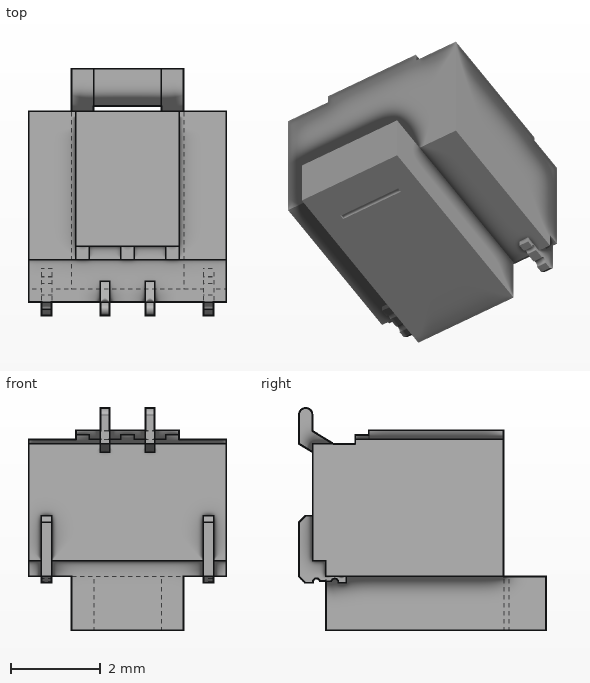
import cadquery as cq

HOUSING_WIDTH = 4.4
HOUSING_FRONT = 0.3
HOUSING_BACK = 4.555
HOUSING_BOTTOM = 1.2
HOUSING_TOP = 4.25

STEP_BACK = 0.6
STEP_HEIGHT = 0.35
LEDGE_BACK = 1.25
LEDGE_DROP = 0.1

PLATE_WIDTH = 2.3
PLATE_FRONT = 1.55
PLATE_HEIGHT = 0.205
RIB_WIDTH = 0.295
RIB_HEIGHT = 0.1
RIB_COUNT = 3

LEAD_WIDTH = 0.205
LEAD_PITCH = 1.0
LEAD_TOP = 4.95
LEAD_REACH = 0.765
LEAD_UPPER_RISE = 0.285
LEAD_LOWER_DROP = 0.185

TAB_WIDTH = 0.225
TAB_SPACING = 3.6
TAB_BOTTOM = 1.055
TAB_TOP = 2.55
TAB_CHAMFER = 0.145
TAB_FOOT_BACK = 1.055
TAB_RELIEF = 0.04
GROOVE_RADIUS = 0.075
GROOVE_TOP = 1.155
GROOVE_FRONT = 0.39
GROOVE_SPACING = 0.405

BASE_WIDTH = 2.495
BASE_BACK = 5.5

BAR_WIDTH = 1.505
BAR_FRONT = 4.665

LEDGE_Z = HOUSING_TOP - LEDGE_DROP


def box(width, y_min, y_max, z_min, z_max, x_center=0.0):
    """Block centred on x_center, spanning the given Y and Z ranges."""
    return (
        cq.Workplane("XY")
        .box(width, y_max - y_min, z_max - z_min, centered=(True, False, False))
        .translate((x_center, y_min, z_min))
    )


def make_shell():
    """Housing block with its step, its ledge and the ribbed plate on top."""
    shell = box(HOUSING_WIDTH, HOUSING_FRONT, HOUSING_BACK, HOUSING_BOTTOM, HOUSING_TOP)
    step_top = HOUSING_BOTTOM + STEP_HEIGHT
    shell = shell.cut(box(HOUSING_WIDTH, HOUSING_FRONT, STEP_BACK, HOUSING_BOTTOM, step_top))
    shell = shell.cut(box(HOUSING_WIDTH, HOUSING_FRONT, LEDGE_BACK, LEDGE_Z, HOUSING_TOP))
    plate_top = HOUSING_TOP + PLATE_HEIGHT
    shell = shell.union(box(PLATE_WIDTH, PLATE_FRONT, HOUSING_BACK, HOUSING_TOP, plate_top))
    rib_pitch = (PLATE_WIDTH - RIB_WIDTH) / (RIB_COUNT - 1)
    rib_top = HOUSING_TOP + RIB_HEIGHT
    for i in range(RIB_COUNT):
        rib_x = (i - (RIB_COUNT - 1) / 2) * rib_pitch
        shell = shell.union(box(RIB_WIDTH, LEDGE_BACK, PLATE_FRONT, HOUSING_TOP, rib_top, rib_x))
    return shell


def make_lead(x_center):
    """Contact lead: round-tipped post joined to the housing by a sloping web."""
    tip_radius = HOUSING_FRONT / 2
    shoulder = LEAD_TOP - tip_radius
    return (
        cq.Workplane("YZ")
        .moveTo(0, LEDGE_Z)
        .lineTo(0, shoulder)
        .threePointArc((tip_radius, LEAD_TOP), (HOUSING_FRONT, shoulder))
        .lineTo(HOUSING_FRONT, LEDGE_Z + LEAD_UPPER_RISE)
        .lineTo(LEAD_REACH, LEDGE_Z)
        .lineTo(HOUSING_FRONT, LEDGE_Z)
        .lineTo(HOUSING_FRONT, LEDGE_Z - LEAD_LOWER_DROP)
        .close()
        .extrude(LEAD_WIDTH / 2, both=True)
        .translate((x_center, 0, 0))
    )


def make_tab(x_center):
    """Solder tab: chamfered upright with a foot under the housing and two grooves."""
    points = [
        (0, TAB_BOTTOM),
        (0, TAB_TOP),
        (HOUSING_FRONT, TAB_TOP),
        (HOUSING_FRONT, HOUSING_BOTTOM + STEP_HEIGHT),
        (STEP_BACK, HOUSING_BOTTOM + STEP_HEIGHT),
        (STEP_BACK, HOUSING_BOTTOM),
        (TAB_FOOT_BACK, HOUSING_BOTTOM),
        (TAB_FOOT_BACK, TAB_BOTTOM),
    ]
    tab = (
        cq.Workplane("YZ")
        .polyline(points)
        .close()
        .extrude(TAB_WIDTH / 2, both=True)
        .translate((x_center, 0, 0))
    )
    tab = tab.faces("<Y").edges("|X").chamfer(TAB_CHAMFER)
    groove_back = GROOVE_FRONT + GROOVE_SPACING
    relief_top = TAB_BOTTOM + TAB_RELIEF
    tab = tab.cut(box(TAB_WIDTH, GROOVE_FRONT, groove_back, TAB_BOTTOM, relief_top, x_center))
    grooves = (
        cq.Workplane("YZ")
        .pushPoints([(y, GROOVE_TOP - GROOVE_RADIUS) for y in (GROOVE_FRONT, groove_back)])
        .circle(GROOVE_RADIUS)
        .extrude(TAB_WIDTH / 2, both=True)
        .translate((x_center, 0, 0))
    )
    return tab.cut(grooves)


def make_base():
    """Base block, flush with the front step, with a slot at the back between two arms."""
    base = box(BASE_WIDTH, STEP_BACK, BASE_BACK, 0, HOUSING_BOTTOM)
    return base.cut(box(BAR_WIDTH, HOUSING_BACK, BASE_BACK, 0, HOUSING_BOTTOM))


def make_housing():
    """Housing in one piece with its base, leads and solder tabs."""
    housing = make_shell().union(make_base())
    for side in (-1, 1):
        housing = housing.union(make_lead(side * LEAD_PITCH / 2))
        housing = housing.union(make_tab(side * TAB_SPACING / 2))
    return housing.clean()


def make_bar():
    """Bar that fits between the arms, flush with their tops and ends."""
    return box(BAR_WIDTH, BAR_FRONT, BASE_BACK, 0, HOUSING_BOTTOM)


housing = make_housing()
bar = make_bar()

result = cq.Compound.makeCompound([housing.solids().val(), bar.val()])